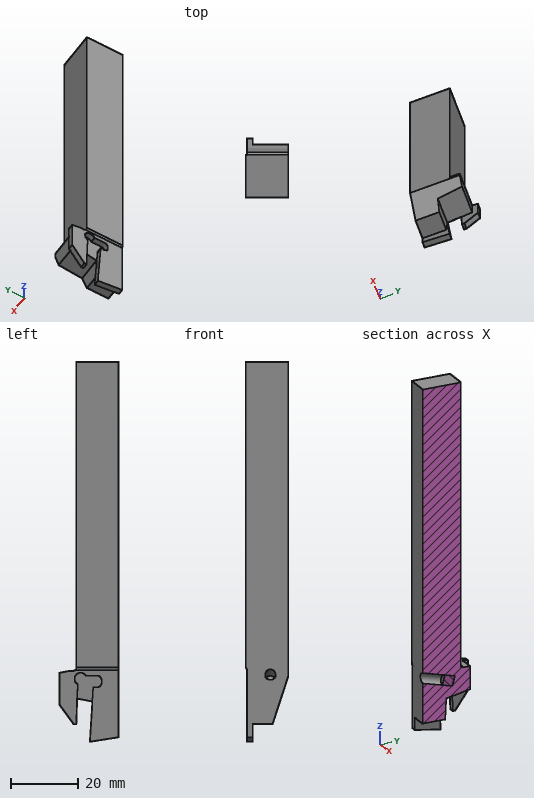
import cadquery as cq
import math

length = 113.3
shank = 12.7
head_top = 21.5

blade_left = 0.3
blade_thick = 1.8
blade_right = blade_left + blade_thick
relief_low = 21.4
relief_high = 22.2
blade_back = 17.7

support_back = 15.9
support_bottom = 5.3
support_end_x = 8.0
taper_top = 19.5
root_radius = 0.3
web_front_y = 7.9
web_front_z = 12.0
web_slope = 0.2

shoulder_z = 21.2
shoulder_start = 13.5
shoulder_end = 14.7
shoulder_back_z = 20.6

lower_jaw_front_z = 1.4
lower_tip_y = 8.6
lower_root_y = 7.6
upper_tip_z = 5.2
upper_tip_outer = 13.4
upper_tip_inner = 12.6
upper_root_y = 12.2
upper_corner_z = 11.1

slot_end_y = 5.1
slot_low = 16.3
slot_high = 19.7
slot_corner = 1.2
bulb_y = 11.3
bulb_z = 18.8
bulb_radius = 1.8

screw_x = 7.4
screw_z = 20.0
screw_dia = 3.1
screw_tilt = 15.0
screw_recess = 7.1
screw_length = 3.4


def side_prism(points, x_start, x_end):
    """Extrude a (Y, Z) outline from x_start to x_end."""
    return cq.Workplane("YZ").workplane(offset=x_start).polyline(points).close().extrude(x_end - x_start)


def front_outline():
    """Shank, tapered head and blade, extruded over the full depth."""
    points = [
        (0, length),
        (0, relief_high),
        (blade_left, relief_low),
        (blade_left, 0),
        (blade_right, 0),
        (blade_right, support_bottom),
        (support_end_x, support_bottom),
        (shank, taper_top),
        (shank, length),
    ]
    body = cq.Workplane("XZ").polyline(points).close().extrude(-blade_back)
    root = cq.selectors.NearestToPointSelector((blade_right, blade_back / 2, support_bottom))
    return body.edges(root).fillet(root_radius)


def shoulder_height(y):
    """Height of the sloped part of the shoulder at depth y."""
    drop = (shoulder_z - shoulder_back_z) / (blade_back - shoulder_end)
    return shoulder_z - drop * (y - shoulder_end)


def upper_edge(back):
    """Points from the front of the shank top to the back of the shoulder."""
    return [
        (0, length),
        (shank, length),
        (shank, head_top),
        (shoulder_start, shoulder_z),
        (shoulder_end, shoulder_z),
        (back, shoulder_height(back)),
    ]


def blade_region():
    """Side outline of the blade, with the gap between its two jaws."""
    lower = [
        (blade_back, upper_corner_z),
        (upper_tip_outer, upper_tip_z),
        (upper_tip_inner, upper_tip_z),
        (upper_root_y, slot_low),
        (upper_root_y, bulb_z),
        (lower_root_y, bulb_z),
        (lower_root_y, slot_low),
        (lower_tip_y, 0),
        (0, lower_jaw_front_z),
    ]
    return side_prism(upper_edge(blade_back) + lower, 0, blade_right)


def support_region():
    """Side outline of the thick support and the web behind the slot."""
    lower = [
        (support_back, web_front_z + web_slope * (support_back - web_front_y)),
        (web_front_y, web_front_z),
        (lower_root_y, support_bottom),
        (0, support_bottom),
    ]
    return side_prism(upper_edge(support_back) + lower, blade_right, shank)


def relief_slot():
    """Round-ended arm and round bulb, as deep as the blade is thick."""
    arm = (
        cq.Workplane("YZ")
        .moveTo((slot_end_y + bulb_y) / 2, (slot_low + slot_high) / 2)
        .rect(bulb_y - slot_end_y, slot_high - slot_low)
        .extrude(blade_right)
        .edges("|X and <Y")
        .fillet(slot_corner)
    )
    bulb = cq.Workplane("YZ").center(bulb_y, bulb_z).circle(bulb_radius).extrude(blade_right)
    return arm.union(bulb)


def screw_cylinder(start, end):
    """Cylinder on the screw axis between two distances from the mouth."""
    tilt = math.radians(screw_tilt)
    axis = cq.Vector(0, math.cos(tilt), -math.sin(tilt))
    mouth = cq.Vector(screw_x, 0, screw_z)
    return cq.Workplane(cq.Solid.makeCylinder(screw_dia / 2, end - start, mouth + axis * start, axis))


def make_holder():
    side = blade_region().union(support_region())
    screw_hole = screw_cylinder(-screw_dia, screw_recess + screw_length)
    return front_outline().intersect(side).cut(relief_slot()).cut(screw_hole)


def make_screw():
    return screw_cylinder(screw_recess, screw_recess + screw_length)


holder = make_holder()
screw = make_screw()
result = cq.Compound.makeCompound([*holder.solids().vals(), screw.val()])